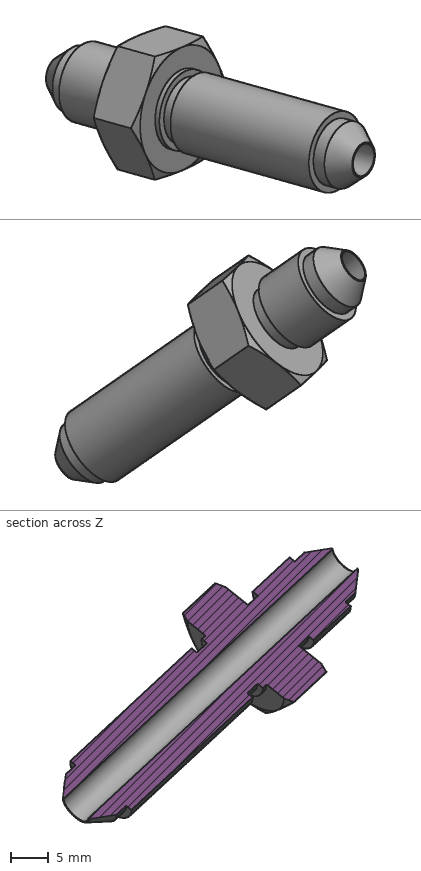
import cadquery as cq
import math

length = 52.6
bore_diameter = 4.4
tip_diameter = 4.85
neck_diameter = 9.25
thread_diameter = 11.15

cone_length = 2.95
nose_length = 4.85

short_thread_end = 12.1
hex_start = 14.0
hex_width = 7.35
hex_end = hex_start + hex_width
collar_end = 22.1
long_thread_start = 24.0

across_flats = 17.45
across_corners = across_flats / math.cos(math.pi / 6)
chamfer_angle = math.radians(20)
chamfer_height = (across_corners - across_flats) / 2
chamfer_length = chamfer_height * math.tan(chamfer_angle)


def cylinder(start, end, diameter):
    """Round bar along X between two stations."""
    return cq.Workplane("YZ", origin=(start, 0, 0)).circle(diameter / 2).extrude(end - start)


def make_core():
    """Full-length neck bar with a cone at each end."""
    tip_radius = tip_diameter / 2
    neck_radius = neck_diameter / 2
    return (
        cq.Workplane("XY")
        .moveTo(0, 0)
        .lineTo(0, tip_radius)
        .lineTo(cone_length, neck_radius)
        .lineTo(length - cone_length, neck_radius)
        .lineTo(length, tip_radius)
        .lineTo(length, 0)
        .close()
        .revolve(360, (0, 0, 0), (1, 0, 0))
    )


def make_hexagon():
    """Hexagon whose corners are turned down by a cone on both faces."""
    prism = cq.Workplane("YZ", origin=(hex_start, 0, 0)).polygon(6, across_corners).extrude(hex_width)
    face_radius = across_flats / 2
    corner_radius = across_corners / 2
    turned_envelope = (
        cq.Workplane("XY")
        .moveTo(hex_start, 0)
        .lineTo(hex_start, face_radius)
        .lineTo(hex_start + chamfer_length, corner_radius)
        .lineTo(hex_end - chamfer_length, corner_radius)
        .lineTo(hex_end, face_radius)
        .lineTo(hex_end, 0)
        .close()
        .revolve(360, (0, 0, 0), (1, 0, 0))
    )
    return prism.intersect(turned_envelope)


short_thread = cylinder(nose_length, short_thread_end, thread_diameter)
collar = cylinder(hex_end, collar_end, thread_diameter)
long_thread = cylinder(long_thread_start, length - nose_length, thread_diameter)
bore = cylinder(0, length, bore_diameter)

body = make_core().union(short_thread).union(make_hexagon()).union(collar).union(long_thread)
result = body.cut(bore)